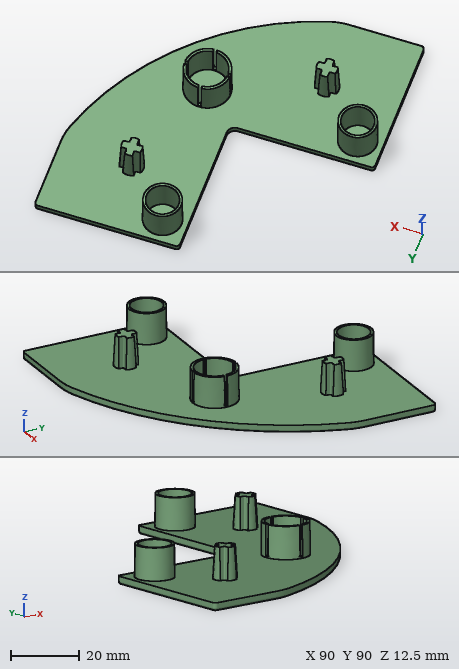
import cadquery as cq
import math

side = 90.0
half = side / 2
plate_thickness = 2.5
rim_radius = 90.0
rim_center_offset = 41.9
rim_blend_radius = 19.8
corner_radius = 1.1
notch_radius = 2.5
bottom_edge_radius = 1.0

overall_height = 12.5
post_height = overall_height - plate_thickness

tube_base_diameter = 11.9
tube_top_diameter = 11.6
tube_bore = 10.0
tube_near = 7.8
tube_far = 37.2
tube_centers = [(tube_near, tube_far), (-tube_far, -tube_near)]

socket_base_diameter = 14.5
socket_top_diameter = 14.2
socket_bore = 12.5
socket_offset = 10.5
socket_center = (socket_offset, -socket_offset)
slot_width = 1.0
slot_floor = 0.5

peg_base_diameter = 7.4
peg_arm_width = 3.4
peg_draft = 3.0
peg_inner_radius = 0.4
peg_centers = [(half / 2, half / 2), (-half / 2, -half / 2)]


def cone(base_diameter, top_diameter):
    """Tapered round body standing on the plane z = 0."""
    return (
        cq.Workplane("XY")
        .circle(base_diameter / 2)
        .workplane(offset=post_height)
        .circle(top_diameter / 2)
        .loft()
    )


def tube(base_diameter, top_diameter, bore):
    bore_cut = cq.Workplane("XY").circle(bore / 2).extrude(post_height)
    return cone(base_diameter, top_diameter).cut(bore_cut)


def make_plate():
    arc_drop = math.sqrt(rim_radius**2 - (half + rim_center_offset) ** 2)
    arc_end = rim_center_offset - arc_drop
    arc_middle = rim_radius / math.sqrt(2) - rim_center_offset
    blank = (
        cq.Workplane("XY")
        .moveTo(0, 0)
        .lineTo(0, half)
        .lineTo(half, half)
        .lineTo(half, arc_end)
        .threePointArc((arc_middle, -arc_middle), (-arc_end, -half))
        .lineTo(-half, -half)
        .lineTo(-half, 0)
        .close()
        .extrude(plate_thickness)
    )

    def round_upright_edges(body, points, radius):
        for x, y in points:
            edge = cq.selectors.NearestToPointSelector((x, y, plate_thickness / 2))
            body = body.edges("|Z").edges(edge).fillet(radius)
        return body

    outer_corners = [(0, half), (half, half), (-half, -half), (-half, 0)]
    blank = round_upright_edges(blank, [(0, 0)], notch_radius)
    blank = round_upright_edges(blank, [(half, arc_end), (-arc_end, -half)], rim_blend_radius)
    blank = round_upright_edges(blank, outer_corners, corner_radius)
    return blank.faces("<Z").edges().fillet(bottom_edge_radius)


def make_socket():
    body = tube(socket_base_diameter, socket_top_diameter, socket_bore)
    slot_length = 2 * socket_base_diameter
    for angle in (0, 90):
        slot = (
            cq.Workplane("XY")
            .workplane(offset=slot_floor)
            .rect(slot_length, slot_width)
            .extrude(post_height)
            .rotate((0, 0, 0), (0, 0, 1), angle)
        )
        body = body.cut(slot)
    return body


def make_peg():
    shrink = 2 * post_height * math.tan(math.radians(peg_draft))
    bar = cq.Workplane("XY").rect(2 * peg_base_diameter, peg_arm_width).extrude(post_height, taper=peg_draft)
    cross = bar.union(bar.rotate((0, 0, 0), (0, 0, 1), 90))
    inner_edges = cq.selectors.BoxSelector(
        (-peg_arm_width, -peg_arm_width, post_height / 4),
        (peg_arm_width, peg_arm_width, post_height * 3 / 4),
    )
    cross = cross.edges(inner_edges).fillet(peg_inner_radius)
    return cross.intersect(cone(peg_base_diameter, peg_base_diameter - shrink))


result = make_plate()
tube_body = tube(tube_base_diameter, tube_top_diameter, tube_bore)
peg_body = make_peg()
for x, y in tube_centers:
    result = result.union(tube_body.translate((x, y, plate_thickness)))
for x, y in peg_centers:
    result = result.union(peg_body.translate((x, y, plate_thickness)))
result = result.union(make_socket().translate((*socket_center, plate_thickness)))